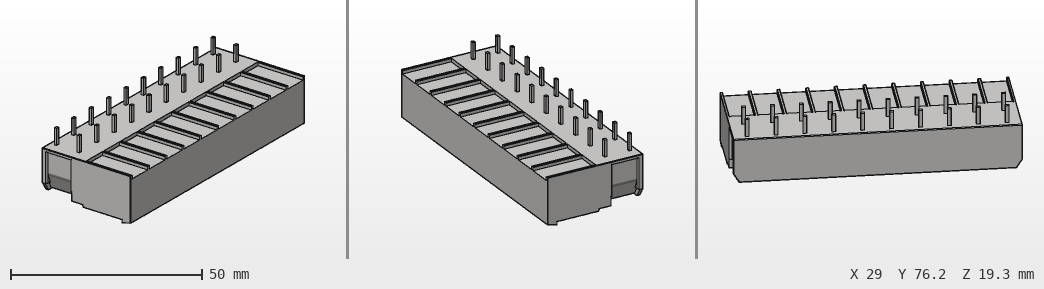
import cadquery as cq

LENGTH = 76.2
WIDTH = 29.0
TOTAL_HEIGHT = 19.3
DECK_Z = 14.4

FRONT_BASE_Z = 1.8
MIDDLE_BASE_Z = 1.6
BACK_BASE_Z = 0.9
FRONT_BASE_WIDTH = 9.75
STEP_X = 13.25
STEP_LEAN = 0.3
LATCH_X = 26.1
LATCH_BACK_Z = 0.7

EDGE = 0.2
END_EDGE = 0.2
END_EDGE_DEPTH = 0.1

RECESS_LEFT, RECESS_RIGHT = 1.3, 9.5
RECESS_TOP_Z = 13.5
RECESS_DEPTH = 0.7
RECESS_DRAFT = 0.2
RAMP_TOP_Z = 6.85
RAMP_BOTTOM_Z = 2.3
RAMP_DEPTH = 2.5
RAMP_BLEND = 1.15
TOE_DEPTH = 3.2
RELIEF_LEFT = 1.1
RELIEF_TOP_Z = 4.3
CORNER_WIDTH = 1.5

POLES = 10
POCKET_X = 14.25
POCKET_DEPTH = 1.1
RIB = 0.5
END_RIB = 0.5
RIB_BEVEL = 0.15

PIN_PITCH = 7.6
PIN_COLUMNS = (2.0, 9.45)
PIN_X, PIN_Y = 0.8, 1.0


def mirror_to_both_ends(cutter):
    """Add the copy of a -Y end cutter that belongs to the +Y end."""
    return cutter.union(cutter.mirror("XZ").translate((0, LENGTH, 0)))


def make_housing():
    section = [
        (0, FRONT_BASE_Z + EDGE),
        (EDGE, FRONT_BASE_Z),
        (FRONT_BASE_WIDTH, FRONT_BASE_Z),
        (FRONT_BASE_WIDTH, MIDDLE_BASE_Z),
        (STEP_X, MIDDLE_BASE_Z),
        (STEP_X + STEP_LEAN, BACK_BASE_Z),
        (LATCH_X, BACK_BASE_Z),
        (LATCH_X, 0),
        (WIDTH, LATCH_BACK_Z),
        (WIDTH, DECK_Z),
        (EDGE, DECK_Z),
        (0, DECK_Z - EDGE),
    ]
    plan = [
        (0, END_EDGE_DEPTH),
        (END_EDGE, 0),
        (WIDTH - END_EDGE, 0),
        (WIDTH, END_EDGE_DEPTH),
        (WIDTH, LENGTH - END_EDGE_DEPTH),
        (WIDTH - END_EDGE, LENGTH),
        (END_EDGE, LENGTH),
        (0, LENGTH - END_EDGE_DEPTH),
    ]
    side = [
        (0, 0),
        (LENGTH, 0),
        (LENGTH, DECK_Z - END_EDGE),
        (LENGTH - END_EDGE_DEPTH, DECK_Z),
        (END_EDGE_DEPTH, DECK_Z),
        (0, DECK_Z - END_EDGE),
    ]
    housing = cq.Workplane("XZ").polyline(section).close().extrude(-LENGTH)
    housing = housing.intersect(cq.Workplane("XY").polyline(plan).close().extrude(DECK_Z))
    return housing.intersect(cq.Workplane("YZ").polyline(side).close().extrude(WIDTH))


def make_end_recess():
    """Stepped recess with a floor that ramps deeper towards the underside."""
    floor = (
        cq.Workplane("YZ")
        .polyline([
            (0, 0),
            (0, RECESS_TOP_Z),
            (RECESS_DEPTH, RECESS_TOP_Z),
            (RECESS_DEPTH, RAMP_TOP_Z),
            (RAMP_DEPTH, RAMP_BOTTOM_Z),
            (TOE_DEPTH, FRONT_BASE_Z),
            (TOE_DEPTH, 0),
        ])
        .close()
        .extrude(FRONT_BASE_WIDTH)
    )
    blend_edge = cq.selectors.NearestToPointSelector((FRONT_BASE_WIDTH / 2, RECESS_DEPTH, RAMP_TOP_Z))
    floor = floor.edges(blend_edge).fillet(RAMP_BLEND)

    mouth = (
        cq.Workplane("XY")
        .polyline([
            (RECESS_LEFT, 0),
            (RECESS_RIGHT, 0),
            (RECESS_RIGHT - RECESS_DRAFT, RECESS_DEPTH),
            (RECESS_RIGHT - RECESS_DRAFT, TOE_DEPTH),
            (RECESS_LEFT + RECESS_DRAFT, TOE_DEPTH),
            (RECESS_LEFT + RECESS_DRAFT, RECESS_DEPTH),
        ])
        .close()
        .extrude(RECESS_TOP_Z)
    )
    relief = cq.Workplane("XY").box(
        FRONT_BASE_WIDTH - RELIEF_LEFT, TOE_DEPTH, RELIEF_TOP_Z, centered=False
    ).translate((RELIEF_LEFT, 0, 0))
    return floor.intersect(mouth.union(relief))


def make_corner_cut():
    """Cuts the lower corner off the wall between the recess and x = 0, with a bevelled outer edge."""
    corner = [(0, RELIEF_TOP_Z), (CORNER_WIDTH, FRONT_BASE_Z), (0, FRONT_BASE_Z)]
    bevel_start = [(0, RELIEF_TOP_Z + EDGE), (CORNER_WIDTH + EDGE, FRONT_BASE_Z), (0, FRONT_BASE_Z)]
    straight = cq.Workplane("YZ").polyline(corner).close().extrude(RELIEF_LEFT)
    bevel = (
        cq.Workplane("YZ")
        .polyline(bevel_start)
        .close()
        .workplane(offset=EDGE)
        .polyline(corner)
        .close()
        .loft(ruled=True)
    )
    return straight.union(bevel)


def make_top_pockets():
    pocket_length = (LENGTH - 2 * END_RIB - (POLES - 1) * RIB) / POLES
    floor_z = DECK_Z - POCKET_DEPTH
    pockets = cq.Workplane("YZ", origin=(POCKET_X, 0, 0))
    for pole in range(POLES):
        start = END_RIB + pole * (pocket_length + RIB)
        end = start + pocket_length
        pockets = pockets.polyline([
            (start, DECK_Z),
            (start + RIB_BEVEL, DECK_Z - RIB_BEVEL),
            (start + RIB_BEVEL, floor_z),
            (end - RIB_BEVEL, floor_z),
            (end - RIB_BEVEL, DECK_Z - RIB_BEVEL),
            (end, DECK_Z),
        ]).close()
    return pockets.extrude(WIDTH - POCKET_X)


def make_pins():
    first_y = (LENGTH - (POLES - 1) * PIN_PITCH) / 2
    spots = [(x, first_y + pole * PIN_PITCH) for x in PIN_COLUMNS for pole in range(POLES)]
    root_z = DECK_Z - EDGE
    return (
        cq.Workplane("XY", origin=(0, 0, root_z))
        .pushPoints(spots)
        .rect(PIN_X, PIN_Y)
        .extrude(TOTAL_HEIGHT - root_z)
    )


result = (
    make_housing()
    .cut(mirror_to_both_ends(make_end_recess()))
    .cut(mirror_to_both_ends(make_corner_cut()))
    .cut(make_top_pockets())
    .union(make_pins())
)